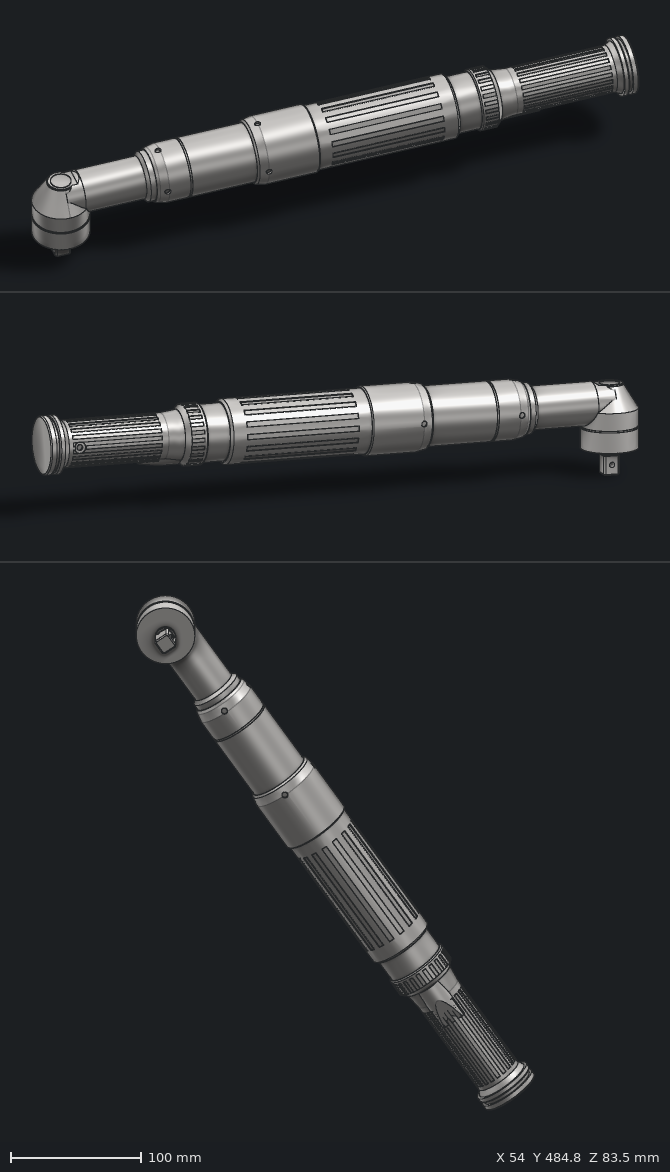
import cadquery as cq


rear_y = 462.25
head_radius = 22.5
collar_radius = 27.0
drive_bottom_z = -56.5

rim_radius = 23.0
rim_chamfer = 1.0
rim_groove_radius = 20.8
rim_groove_rear_y = 457.6
rim_groove_front_y = 454.8
rim_front_y = 450.6
cap_front_y = 446.0

handle_radius = 18.5
flute_count = 20
flute_width = 3.0
flute_depth = 1.0
flute_rear_y = 442.5
flute_front_y = 370.2
handle_front_y = 365.0
handle_flare_radius = 20.0

ring_radius = 24.2
ring_rear_y = 352.0
ring_chamfer = 4.0
ring_front_y = 334.5
ring_front_chamfer = 1.0
ring_groove_count = 24
ring_groove_width = 3.0
ring_groove_depth = 1.0
ring_groove_length = 10.5

neck_radius = 22.5
sleeve_radius = 25.5
sleeve_rear_y = 316.5
sleeve_chamfer = 2.0
sleeve_front_y = 202.0
slot_count = 16
slot_width = 4.1
slot_depth = 1.0
slot_rear_y = 303.2
slot_front_y = 212.5

collar_rear_chamfer = 1.0
collar_taper_y = 160.0
collar_taper_radius = 25.6
collar_front_y = 151.5
collar_front_chamfer = 1.6

barrel_radius = 23.5
barrel_groove_y = 98.5
barrel_groove_width = 1.5
barrel_groove_depth = 0.5
nose_taper_y = 80.3
nose_shoulder_y = 73.5
nose_shoulder_radius = 22.0
nose_step_rear_y = 71.2
nose_step_rear_radius = 20.8
nose_step_radius = 20.0
nose_step_front_y = 66.6
nose_front_y = 64.0
tube_radius = 17.0

elbow_radius = 17.2
elbow_rear_y = 14.6
cone_base_z = -4.4
cone_top_z = 14.2
cone_top_radius = 11.0
cap_radius = 10.3
cap_top_z = 15.2
cap_flat_rear_y = 11.0
cap_flat_slope_length = 3.0
cap_recess_diameter = 16.0
cap_recess_depth = 0.5
head_bottom_z = -35.8
head_groove_z = -19.0
head_groove_width = 1.2
head_groove_depth = 0.5

spindle_diameter = 15.0
flange_diameter = 16.0
flange_top_z = -39.0
flange_bottom_z = -40.0
drive_top_z = -41.3
drive_size = 12.7
drive_chamfer = 1.5
drive_end_chamfer = 1.0
pin_hole_diameter = 4.1
pin_hole_z = -48.2

screw_depth = 2.0
collar_screw_diameter = 4.5
nose_screw_diameter = 4.6
nose_screw_y = 79.0
handle_screw_y = 436.7
handle_counterbore_diameter = 9.0
handle_counterbore_depth = 2.0
handle_screw_diameter = 4.6

ramp_radius = 11.0
ramp_rear_y = 386.0
ramp_crest_y = 364.0
ramp_drop = 22.5


def revolved_body():
    """Turn the handle, ring, sleeve, collar, barrel, nose and tube as one profile."""
    profile = [
        (0, rear_y),
        (rim_radius - rim_chamfer, rear_y),
        (rim_radius, rear_y - rim_chamfer),
        (rim_radius, rim_groove_rear_y),
        (rim_groove_radius, rim_groove_rear_y),
        (rim_groove_radius, rim_groove_front_y),
        (rim_radius - rim_chamfer, rim_groove_front_y),
        (rim_radius, rim_groove_front_y - rim_chamfer),
        (rim_radius, rim_front_y),
        (rim_groove_radius, rim_front_y),
        (handle_radius, cap_front_y),
        (handle_radius, handle_front_y),
        (handle_flare_radius, ring_rear_y),
        (ring_radius - ring_chamfer, ring_rear_y),
        (ring_radius, ring_rear_y - ring_chamfer),
        (ring_radius, ring_front_y + ring_front_chamfer),
        (ring_radius - ring_front_chamfer, ring_front_y),
        (neck_radius, ring_front_y),
        (neck_radius, sleeve_rear_y),
        (sleeve_radius - sleeve_chamfer, sleeve_rear_y),
        (sleeve_radius, sleeve_rear_y - sleeve_chamfer),
        (sleeve_radius, sleeve_front_y),
        (collar_radius - collar_rear_chamfer, sleeve_front_y),
        (collar_radius, sleeve_front_y - collar_rear_chamfer),
        (collar_radius, collar_taper_y),
        (collar_taper_radius, collar_front_y + collar_front_chamfer),
        (collar_taper_radius - collar_front_chamfer, collar_front_y),
        (barrel_radius, collar_front_y),
        (barrel_radius, nose_taper_y),
        (nose_shoulder_radius, nose_shoulder_y),
        (nose_step_rear_radius, nose_step_rear_y),
        (nose_step_radius, nose_step_rear_y),
        (nose_step_radius, nose_step_front_y),
        (tube_radius, nose_front_y),
        (tube_radius, elbow_rear_y),
        (elbow_radius, elbow_rear_y),
        (elbow_radius, 0),
        (0, 0),
    ]
    return cq.Workplane("XY").polyline(profile).close().revolve(360, (0, 0, 0), (0, 1, 0))


def angle_head():
    """Turn the angle head about Z: cap, cone and cylinder."""
    profile = [
        (0, cap_top_z),
        (cap_radius, cap_top_z),
        (cap_radius, cone_top_z),
        (cone_top_radius, cone_top_z),
        (head_radius, cone_base_z),
        (head_radius, head_bottom_z),
        (0, head_bottom_z),
    ]
    return cq.Workplane("XZ").polyline(profile).close().revolve(360, (0, 0, 0), (0, 1, 0))


def z_cylinder(diameter, bottom_z, top_z):
    return cq.Workplane("XY").workplane(offset=bottom_z).circle(diameter / 2).extrude(top_z - bottom_z)


def output_drive():
    """Spindle, flange, neck and square drive with its cross hole."""
    spindle = z_cylinder(spindle_diameter, flange_top_z, head_bottom_z)
    flange = z_cylinder(flange_diameter, flange_bottom_z, flange_top_z)
    drive_neck = z_cylinder(drive_size, drive_top_z, flange_bottom_z)
    square = (
        cq.Workplane("XY")
        .workplane(offset=drive_bottom_z)
        .rect(drive_size, drive_size)
        .extrude(drive_top_z - drive_bottom_z)
        .edges("|Z")
        .chamfer(drive_chamfer)
        .faces("<Z")
        .chamfer(drive_end_chamfer)
    )
    pin_hole = (
        cq.Workplane("YZ")
        .center(0, pin_hole_z)
        .circle(pin_hole_diameter / 2)
        .extrude(drive_size, both=True)
    )
    return spindle.union(flange).union(drive_neck).union(square).cut(pin_hole)


def handle_ramp():
    """Round-bottomed wedge under the handle that deepens toward the knurled ring."""
    side = [
        (ramp_rear_y, 0),
        (ramp_rear_y, -handle_radius),
        (ramp_crest_y, -ramp_drop),
        (ring_rear_y, -ramp_drop),
        (ring_rear_y, 0),
    ]
    wedge = cq.Workplane("YZ").polyline(side).close().extrude(ramp_radius, both=True)
    rounded_bar = (
        cq.Workplane("XZ")
        .workplane(offset=-ramp_rear_y)
        .center(0, ramp_radius - ramp_drop)
        .circle(ramp_radius)
        .extrude(ramp_rear_y - ring_rear_y)
    )
    return wedge.intersect(rounded_bar)


def surface_grooves(count, width, depth, surface_radius, rear_y_end, front_y_end, first_angle=0.0):
    """Lengthwise grooves spread evenly around the body axis."""
    length = rear_y_end - front_y_end
    middle_y = (rear_y_end + front_y_end) / 2
    block = cq.Workplane("XY").box(width, length, 2 * depth).translate((0, middle_y, surface_radius))
    grooves = cq.Workplane("XY")
    for index in range(count):
        angle = first_angle + index * 360 / count
        grooves = grooves.add(block.rotate((0, 0, 0), (0, 1, 0), angle))
    return grooves.combine(glue=True)


def radial_holes(diameter, depth, surface_radius, y, angles):
    """Blind holes pointing at the body axis; angle 0 is +Z and -90 is -X."""
    hole = (
        cq.Workplane("XY")
        .workplane(offset=surface_radius - depth)
        .center(0, y)
        .circle(diameter / 2)
        .extrude(2 * depth)
    )
    holes = cq.Workplane("XY")
    for angle in angles:
        holes = holes.add(hole.rotate((0, 0, 0), (0, 1, 0), angle))
    return holes.combine(glue=True)


def ring_tool(plane, radius, depth, width, position):
    """Cutter for a shallow groove around a cylinder, centred on a position along its axis."""
    return (
        cq.Workplane(plane)
        .workplane(offset=position - width / 2)
        .circle(radius + depth)
        .circle(radius - depth)
        .extrude(width)
    )


def cap_flat():
    """Cutter that takes the top of the elbow down to the cap, with a sloped rear wall."""
    side = [
        (-head_radius, cap_top_z),
        (cap_flat_rear_y, cap_top_z),
        (cap_flat_rear_y + cap_flat_slope_length, elbow_radius),
        (-head_radius, elbow_radius),
    ]
    return cq.Workplane("YZ").polyline(side).close().extrude(elbow_radius, both=True)


quarter_turns = (0, 90, 180, 270)
minus_x_angle = -90

body = revolved_body().union(handle_ramp())
body = body.cut(surface_grooves(
    flute_count, flute_width, flute_depth, handle_radius,
    flute_rear_y, flute_front_y, 180 / flute_count))
ring_groove_rear_y = ring_rear_y - ring_chamfer
body = body.cut(surface_grooves(
    ring_groove_count, ring_groove_width, ring_groove_depth, ring_radius,
    ring_groove_rear_y, ring_groove_rear_y - ring_groove_length))
body = body.cut(surface_grooves(
    slot_count, slot_width, slot_depth, sleeve_radius, slot_rear_y, slot_front_y))
body = body.cut(ring_tool("XZ", barrel_radius, barrel_groove_depth, barrel_groove_width, -barrel_groove_y))
body = body.cut(radial_holes(
    collar_screw_diameter, screw_depth, collar_radius, collar_taper_y, quarter_turns))
body = body.cut(radial_holes(
    nose_screw_diameter, screw_depth, barrel_radius, nose_screw_y, quarter_turns))
body = body.cut(radial_holes(
    handle_counterbore_diameter, handle_counterbore_depth, handle_radius,
    handle_screw_y, (minus_x_angle,)))
body = body.cut(radial_holes(
    handle_screw_diameter, handle_counterbore_depth + screw_depth, handle_radius,
    handle_screw_y, (minus_x_angle,)))

result = body.union(angle_head())
result = result.cut(cap_flat())
result = result.cut(z_cylinder(cap_recess_diameter, cap_top_z - cap_recess_depth, cap_top_z))
result = result.cut(ring_tool("XY", head_radius, head_groove_depth, head_groove_width, head_groove_z))
result = result.union(output_drive())